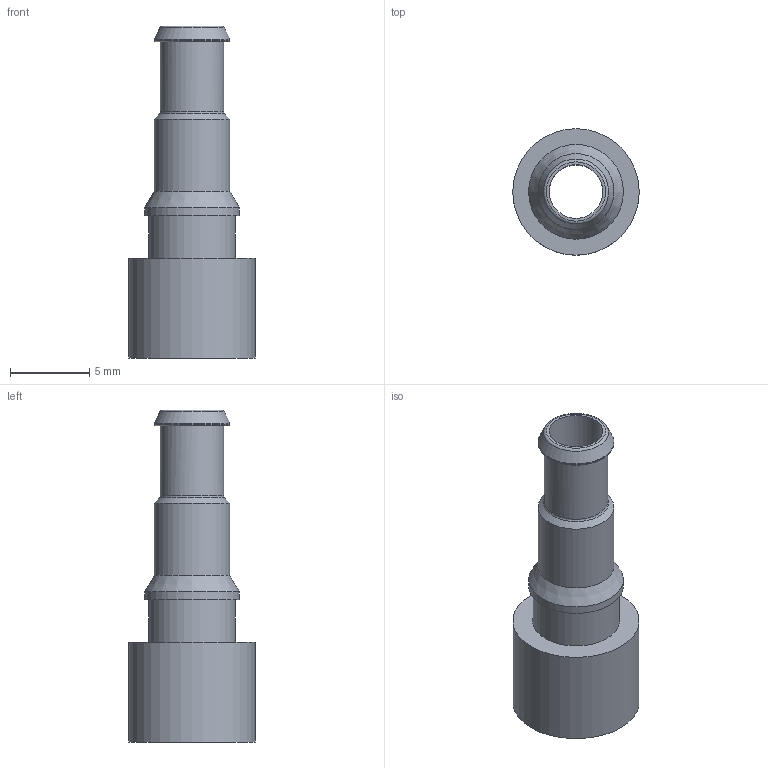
import math

import cadquery as cq

base_diameter = 8.0
shank_diameter = 5.5
flange_diameter = 6.0
body_diameter = 4.8
neck_diameter = 4.0
barb_diameter = body_diameter
bore_diameter = 3.4

base_top = 6.3
flange_bottom = 9.0
flange_rim_top = 9.5
neck_bottom = 15.5
barb_bottom = 20.0
total_height = 21.0

flange_cone_angle = math.radians(30)

barb_rim_height = 0.15
barb_heel_fillet = 0.1
neck_fillet = 0.2
tip_fillet = 0.2

level_margin = 0.01

base_radius = base_diameter / 2
shank_radius = shank_diameter / 2
flange_radius = flange_diameter / 2
body_radius = body_diameter / 2
neck_radius = neck_diameter / 2
barb_radius = barb_diameter / 2
flange_cone_top = flange_rim_top + (flange_radius - body_radius) / math.tan(flange_cone_angle)
body_top = neck_bottom - (body_radius - neck_radius)
barb_rim_top = barb_bottom + barb_rim_height


def make_outer_body():
    """Stepped stem with a coned flange, a coned shoulder and a hose barb tapering to the neck radius."""
    return (
        cq.Workplane("XZ")
        .lineTo(base_radius, 0)
        .lineTo(base_radius, base_top)
        .lineTo(shank_radius, base_top)
        .lineTo(shank_radius, flange_bottom)
        .lineTo(flange_radius, flange_bottom)
        .lineTo(flange_radius, flange_rim_top)
        .lineTo(body_radius, flange_cone_top)
        .lineTo(body_radius, body_top)
        .lineTo(neck_radius, neck_bottom)
        .lineTo(neck_radius, barb_bottom)
        .lineTo(barb_radius, barb_bottom)
        .lineTo(barb_radius, barb_rim_top)
        .lineTo(neck_radius, total_height)
        .lineTo(0, total_height)
        .close()
        .revolve(360, (0, 0, 0), (0, 1, 0))
    )


def fillet_outermost_edge(body, height, radius):
    """Fillet the largest circular edge lying at this height."""
    level = cq.selectors.BoxSelector(
        (-base_diameter, -base_diameter, height - level_margin),
        (base_diameter, base_diameter, height + level_margin),
        boundingbox=True,
    )
    largest = cq.selectors.RadiusNthSelector(-1)
    return body.edges(level).edges("%CIRCLE").edges(largest).fillet(radius)


def round_edges(body):
    """Round the foot of the neck, the heel of the barb and the outer edge of the tip."""
    body = fillet_outermost_edge(body, neck_bottom, neck_fillet)
    body = fillet_outermost_edge(body, barb_bottom, barb_heel_fillet)
    return fillet_outermost_edge(body, total_height, tip_fillet)


def make_bore():
    """Straight bore through the full height."""
    return cq.Workplane("XY").circle(bore_diameter / 2).extrude(total_height)


result = round_edges(make_outer_body()).cut(make_bore())